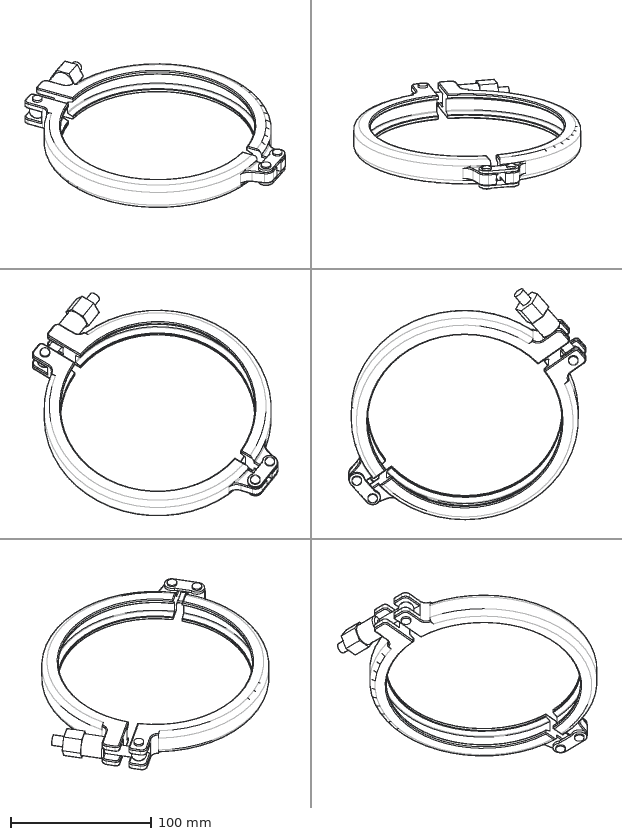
import cadquery as cq
import math

margin = 0.2

ring_outer_radius = 161.9 / 2
ring_bore_radius = 69.2
ring_height = 18.4
ring_edge_fillet = 3.8
bore_edge_chamfer = 0.8
groove_radius = 73.5
groove_floor_height = 9.0
groove_mouth_height = 12.7
groove_rounding = 0.5
half_gap = 3.4

fork_end_x = -99.0
fork_side_y = 16.5
fork_corner_radius = 4.0
fork_gap_corner_radius = 2.8
fork_ring_fillet = 5.5
fork_inner_radius = 75.1
edge_chamfer = 0.8
slot_height = 8.7
slot_end_x = -84.2

hinge_x = 90.7
hinge_y = 9.0
lug_radius = 6.0
lug_height = 9.0
lug_angle = math.radians(15)
lug_ring_fillet = 8.7
lug_root_fillet = 0.8
link_radius = 10.9 / 2
link_waist = 4.5
link_thickness = 2.0
hinge_pin_length = 15.5

pin_radius = 7.0 / 2

bolt_x = -91.1
eye_y = -9.3
eye_radius = 5.7
eye_pin_length = 21.3
shank_radius = 7.7 / 2
shank_end_y = 53.5
nut_seat_y = 15.0
collar_radius = 8.0
collar_chamfer = 1.2
hex_start_y = 31.2
hex_end_y = 44.5
hex_across_corners = 19.8


def pin(x, y, length):
    """Pin along Z, centred on the plane Z = 0."""
    return cq.Workplane("XY").center(x, y).circle(pin_radius).extrude(length / 2, both=True)


def ring_blank():
    """Full disc with rounded outer edges, before it is bored and parted."""
    disc = cq.Workplane("XY").circle(ring_outer_radius).extrude(ring_height / 2, both=True)
    return disc.edges().fillet(ring_edge_fillet)


def bore():
    """Bore with chamfered mouths and an inner groove with sloping walls."""
    top = ring_height / 2
    mouth_radius = ring_bore_radius + bore_edge_chamfer
    cutter = (
        cq.Workplane("XZ")
        .polyline([
            (0, -top),
            (mouth_radius, -top),
            (ring_bore_radius, -top + bore_edge_chamfer),
            (ring_bore_radius, -groove_mouth_height / 2),
            (groove_radius, -groove_floor_height / 2),
            (groove_radius, groove_floor_height / 2),
            (ring_bore_radius, groove_mouth_height / 2),
            (ring_bore_radius, top - bore_edge_chamfer),
            (mouth_radius, top),
            (0, top),
        ])
        .close()
        .revolve(360, (0, 0, 0), (0, 1, 0))
    )
    groove_edges = cq.selectors.BoxSelector(
        (-ring_outer_radius, -ring_outer_radius, -groove_mouth_height / 2 - margin),
        (ring_outer_radius, ring_outer_radius, groove_mouth_height / 2 + margin),
    )
    return cutter.edges("%CIRCLE").edges(groove_edges).fillet(groove_rounding)


def fork_slot():
    """Cutter for the slot between the tines, open toward -X and on both sides."""
    slot_length = slot_end_x - fork_end_x
    return (
        cq.Workplane("XY")
        .box(2 * slot_length, 4 * fork_side_y, slot_height)
        .translate((slot_end_x - slot_length, 0, 0))
    )


def fork():
    """Forked arm of the +Y half, blended into the ring's outer side."""
    centre_distance = ring_outer_radius + fork_ring_fillet
    fillet_y = fork_side_y + fork_ring_fillet
    fillet_x = -math.sqrt(centre_distance**2 - fillet_y**2)
    on_ring = ring_outer_radius / centre_distance
    ring_x = fillet_x * on_ring
    ring_y = fillet_y * on_ring
    inner_x = -math.sqrt(fork_inner_radius**2 - ring_y**2)

    arm = (
        cq.Workplane("XY")
        .moveTo(fork_end_x, half_gap)
        .lineTo(fork_end_x, fork_side_y)
        .lineTo(fillet_x, fork_side_y)
        .radiusArc((ring_x, ring_y), -fork_ring_fillet)
        .lineTo(inner_x, ring_y)
        .lineTo(inner_x, half_gap)
        .close()
        .extrude(ring_height / 2, both=True)
        .edges("|Z and <X")
        .edges(">Y")
        .fillet(fork_corner_radius)
        .edges("|Z and <X")
        .edges("<Y")
        .fillet(fork_gap_corner_radius)
    )
    outer_rim = cq.selectors.BoxSelector(
        (fork_end_x - margin, half_gap + margin, -ring_height),
        (ring_x, ring_y - margin, ring_height),
    )
    arm = arm.faces("<Z or >Z").edges(outer_rim).chamfer(edge_chamfer)

    arm = arm.cut(fork_slot())
    slot_rim = cq.selectors.BoxSelector(
        (fork_end_x - margin, half_gap + margin, -slot_height / 2 - margin),
        (slot_end_x - margin, fork_side_y + margin, slot_height / 2 + margin),
    )
    return arm.edges(slot_rim).chamfer(edge_chamfer)


def hinge_lug():
    """Lug of the +Y half, tapering from the ring to the hinge pin."""
    normal = (math.sin(lug_angle), math.cos(lug_angle))
    flank_offset = hinge_x * normal[0] + hinge_y * normal[1] + lug_radius
    centre_distance = ring_outer_radius + lug_ring_fillet
    fillet_offset = flank_offset + lug_ring_fillet
    fillet_along = math.sqrt(centre_distance**2 - fillet_offset**2)
    fillet_x = fillet_along * normal[1] + fillet_offset * normal[0]
    fillet_y = fillet_offset * normal[1] - fillet_along * normal[0]
    on_ring = ring_outer_radius / centre_distance
    end_x = hinge_x + lug_radius
    arc_middle = lug_angle / 2 + math.pi / 4
    ring_x = fillet_x * on_ring

    lug = (
        cq.Workplane("XY")
        .moveTo(ring_x, half_gap)
        .lineTo(end_x, half_gap)
        .lineTo(end_x, hinge_y)
        .threePointArc(
            (hinge_x + lug_radius * math.sin(arc_middle), hinge_y + lug_radius * math.cos(arc_middle)),
            (hinge_x + lug_radius * normal[0], hinge_y + lug_radius * normal[1]),
        )
        .lineTo(fillet_x - lug_ring_fillet * normal[0], fillet_y - lug_ring_fillet * normal[1])
        .radiusArc((ring_x, fillet_y * on_ring), lug_ring_fillet)
        .close()
        .extrude(lug_height / 2, both=True)
    )
    rim = cq.selectors.BoxSelector(
        (ring_x + margin, half_gap - margin, -lug_height),
        (end_x + margin, ring_outer_radius, lug_height),
    )
    return lug.faces("<Z or >Z").edges(rim).chamfer(edge_chamfer)


def half_ring():
    """The +Y half of the ring with its fork and hinge lug."""
    size = 4 * ring_outer_radius
    keep = (
        cq.Workplane("XY")
        .box(size, size, ring_height)
        .faces("<Y")
        .edges("|X")
        .chamfer(edge_chamfer)
        .translate((0, half_gap + size / 2, 0))
    )
    half = ring_blank().intersect(keep).cut(fork_slot()).union(fork()).union(hinge_lug())
    lug_root = cq.selectors.BoxSelector(
        (ring_bore_radius, half_gap + margin, -lug_height / 2 - margin),
        (ring_outer_radius + margin, hinge_y + lug_radius, lug_height / 2 + margin),
    )
    return half.edges("%CIRCLE").edges(lug_root).fillet(lug_root_fillet).cut(bore())


def link(side):
    """Link over both lugs, on the top (side = 1) or the bottom (side = -1)."""
    thickness = side * link_thickness
    face = cq.Workplane("XY", origin=(hinge_x, 0, side * lug_height / 2))
    eyes = face.pushPoints([(0, hinge_y), (0, -hinge_y)]).circle(link_radius).extrude(thickness)
    web_middle = (link_radius - link_waist) / 2
    web = face.center(web_middle, 0).rect(link_radius + link_waist, 2 * hinge_y).extrude(thickness)
    return eyes.union(web)


def along_bolt(y):
    """Workplane across the bolt's axis at the given Y; extrusions run toward +Y."""
    return cq.Workplane(cq.Plane((bolt_x, y, 0), (1, 0, 0), (0, 1, 0)))


def nut_collar():
    """Round part of the nut, chamfered where it sits in the upper fork."""
    collar = along_bolt(nut_seat_y).circle(collar_radius).extrude(hex_start_y - nut_seat_y)
    return collar.faces("<Y").edges().chamfer(collar_chamfer)


def make_band():
    """Clamp band: both half rings, joined by the hinge links and pins, with the pin for the eyebolt."""
    upper = half_ring()
    lower = upper.mirror("XZ")
    band = upper.cut(nut_collar()).union(lower)
    for side in (1, -1):
        band = band.union(link(side))
        band = band.union(pin(hinge_x, side * hinge_y, hinge_pin_length))
    return band.union(pin(bolt_x, eye_y, eye_pin_length))


def make_eyebolt():
    """Plain shank with a ball eye, flattened to fit the lower fork and bored for its pin."""
    shank = along_bolt(eye_y).circle(shank_radius).extrude(shank_end_y - eye_y)
    flats = cq.Workplane("XY").box(2 * eye_radius, 2 * eye_radius, slot_height)
    eye = cq.Workplane("XY").sphere(eye_radius).intersect(flats).translate((bolt_x, eye_y, 0))
    return shank.union(eye).cut(pin(bolt_x, eye_y, eye_pin_length))


def make_nut():
    """Hexagon nut with a round collar, bored for the shank."""
    hexagon = along_bolt(hex_start_y).polygon(6, hex_across_corners).extrude(hex_end_y - hex_start_y)
    hole = along_bolt(nut_seat_y).circle(shank_radius).extrude(hex_end_y - nut_seat_y)
    return nut_collar().union(hexagon).cut(hole)


band = make_band()
eyebolt = make_eyebolt()
nut = make_nut()

result = cq.Compound.makeCompound([band.val(), eyebolt.val(), nut.val()])